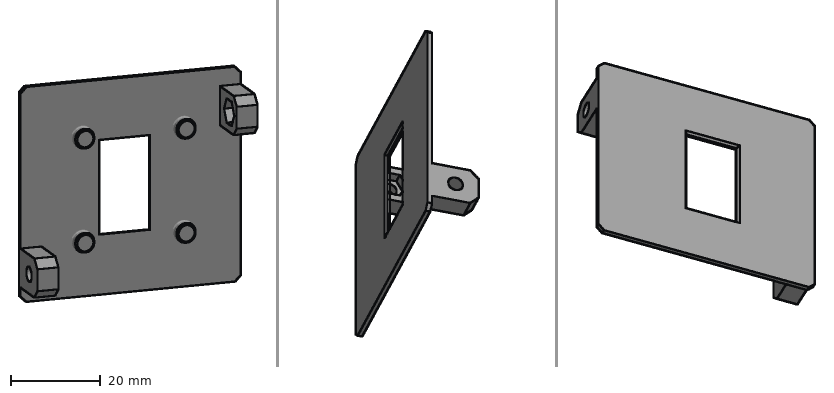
import cadquery as cq

PLATE_WIDTH = 52.2
PLATE_HEIGHT = 49.6
PLATE_THICKNESS = 1.1
PLATE_CORNER = 1.35

WINDOW_Y = -1.4
WINDOW_WIDTH = 12.0
WINDOW_HEIGHT = 21.8
WINDOW_BEVEL = 0.6

TOTAL_DEPTH = 12.0
LUG_WIDTH = 4.95
LUG_HEIGHT = 9.05
LUG_CHAMFER = 2.0
LUG_HOLE_DIAMETER = 3.4
UPPER_LUG_Z = 16.2
UPPER_HOLE_X = 7.1
LOWER_LUG_Z = -16.85
LOWER_HOLE_X = 6.6

NUT_ACROSS_CORNERS = 6.45
NUT_DEPTH = 2.5

BOSS_SPACING = 24.0
BOSS_CENTRE_Y = 0.6
BOSS_DIAMETER = 4.55
BOSS_HEIGHT = 1.9
BOSS_CHAMFER = 0.35
BOSS_FLARE = 0.3


def make_plate():
    return (
        cq.Workplane("YZ")
        .rect(PLATE_WIDTH, PLATE_HEIGHT)
        .extrude(PLATE_THICKNESS)
        .edges("|X")
        .chamfer(PLATE_CORNER)
    )


def make_window():
    opening = (
        cq.Workplane("YZ")
        .center(WINDOW_Y, 0)
        .rect(WINDOW_WIDTH, WINDOW_HEIGHT)
        .extrude(PLATE_THICKNESS)
    )
    bevel = (
        cq.Workplane("YZ")
        .center(WINDOW_Y, 0)
        .rect(WINDOW_WIDTH + 2 * WINDOW_BEVEL, WINDOW_HEIGHT + 2 * WINDOW_BEVEL)
        .workplane(offset=WINDOW_BEVEL)
        .rect(WINDOW_WIDTH, WINDOW_HEIGHT)
        .loft(ruled=True)
    )
    return opening.union(bevel)


def make_lug(start_y, centre_z, hole_x):
    """Chamfered lug with a cross hole, running from start_y towards +Y."""
    body = (
        cq.Workplane("XY")
        .box(TOTAL_DEPTH, LUG_WIDTH, LUG_HEIGHT, centered=(False, False, True))
        .translate((0, start_y, centre_z))
        .edges("|Y and >X")
        .chamfer(LUG_CHAMFER)
    )
    hole = along_y(start_y, hole_x, centre_z).circle(LUG_HOLE_DIAMETER / 2).extrude(LUG_WIDTH)
    return body.cut(hole)


def along_y(y, x, z):
    """Workplane at the given point whose extrusions run towards +Y."""
    return cq.Workplane(cq.Plane(origin=(x, y, z), xDir=(1, 0, 0), normal=(0, 1, 0)))


def make_boss(y, z):
    """Round boss with a filleted root and a chamfered rim."""
    radius = BOSS_DIAMETER / 2
    boss = (
        cq.Workplane("XY")
        .lineTo(radius + BOSS_FLARE, 0)
        .radiusArc((radius, BOSS_FLARE), BOSS_FLARE)
        .lineTo(radius, BOSS_HEIGHT - BOSS_CHAMFER)
        .lineTo(radius - BOSS_CHAMFER, BOSS_HEIGHT)
        .lineTo(0, BOSS_HEIGHT)
        .close()
        .revolve(360, (0, 0), (0, 1))
    )
    return boss.rotate((0, 0, 0), (0, 0, 1), -90).translate((PLATE_THICKNESS, y, z))


upper_lug_y = PLATE_WIDTH / 2 - LUG_WIDTH
nut_pocket = along_y(upper_lug_y, UPPER_HOLE_X, UPPER_LUG_Z).polygon(6, NUT_ACROSS_CORNERS).extrude(NUT_DEPTH)
upper_lug = make_lug(upper_lug_y, UPPER_LUG_Z, UPPER_HOLE_X).cut(nut_pocket)
lower_lug = make_lug(-PLATE_WIDTH / 2, LOWER_LUG_Z, LOWER_HOLE_X)

result = make_plate().cut(make_window()).union(upper_lug).union(lower_lug)
for side_y in (-1, 1):
    for side_z in (-1, 1):
        boss_y = BOSS_CENTRE_Y + side_y * BOSS_SPACING / 2
        boss_z = side_z * BOSS_SPACING / 2
        result = result.union(make_boss(boss_y, boss_z))